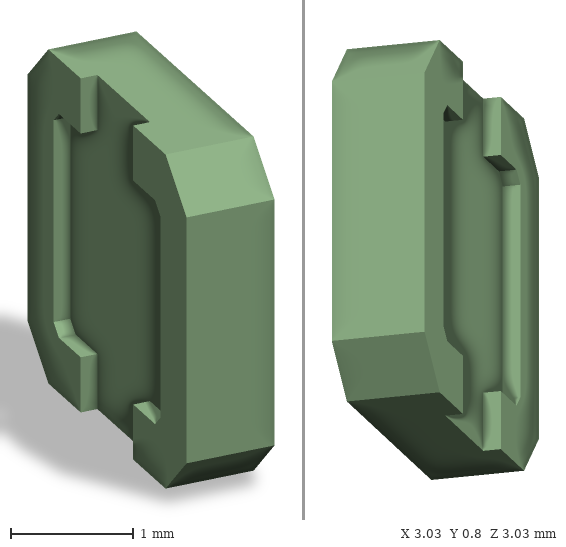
import cadquery as cq

side = 3.03
depth = 0.8
corner_cut = 0.4

frame_width = 0.5
frame_gap = 1.0

recess_depth = 0.15
pocket_side = side - 2 * frame_width
pocket_corner_cut = 0.1

front_y = -depth / 2


def cut_corner_block(size, thickness, cut):
    """Square block with cut corners, reaching from the front face toward +Y."""
    return (
        cq.Workplane("XZ", origin=(0, front_y, 0))
        .rect(size, size)
        .extrude(-thickness)
        .edges("|Y")
        .chamfer(cut)
    )


body = cut_corner_block(side, depth, corner_cut)
pocket = cut_corner_block(pocket_side, recess_depth, pocket_corner_cut)

channel = (
    cq.Workplane("XZ", origin=(0, front_y, 0))
    .rect(frame_gap, side)
    .extrude(-recess_depth)
)

result = body.cut(pocket).cut(channel)